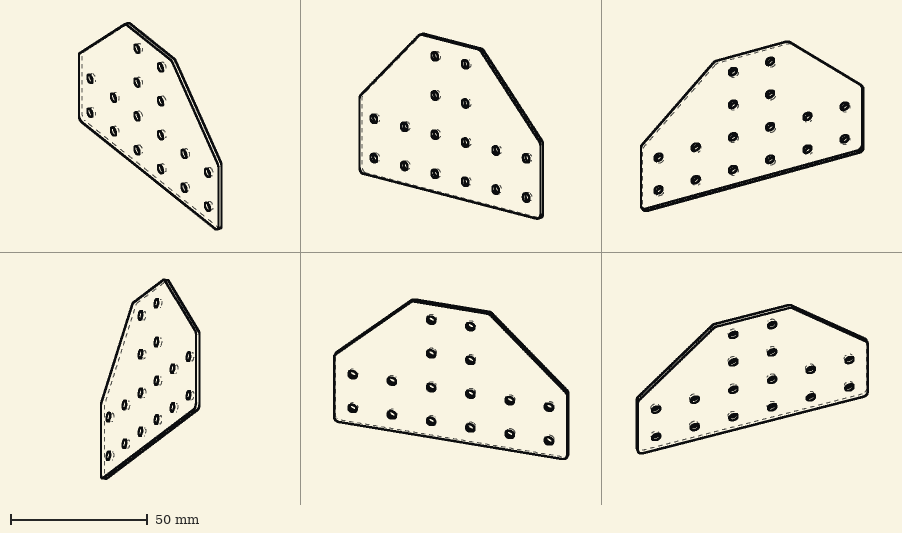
import cadquery as cq

width = 89.0
height = 59.0
thickness = 1.5
shoulder_cut = 29.7
corner_radius = 2.0

hole_diameter = 3.2
hole_margin = 7.0
wide_columns = 6
narrow_columns = 2
wide_rows = 2
row_count = 4
hole_pitch = (width - 2 * hole_margin) / (wide_columns - 1)


def hole_centres():
    """Centres of an upside-down T: wide lower rows and a narrow stem above."""
    centres = []
    for row in range(row_count):
        columns = wide_columns if row < wide_rows else narrow_columns
        z = hole_margin + row * hole_pitch
        for column in range(columns):
            x = (column - (columns - 1) / 2) * hole_pitch
            centres.append((x, z))
    return centres


half_width = width / 2
shoulder_height = height - shoulder_cut
half_top = half_width - shoulder_cut
outline = [
    (-half_width, 0),
    (half_width, 0),
    (half_width, shoulder_height),
    (half_top, height),
    (-half_top, height),
    (-half_width, shoulder_height),
]
plate = cq.Workplane("XZ").polyline(outline).close().extrude(-thickness)
plate = plate.edges("|Y").fillet(corner_radius)

holes = (
    cq.Workplane("XZ")
    .pushPoints(hole_centres())
    .circle(hole_diameter / 2)
    .extrude(-thickness)
)

result = plate.cut(holes)